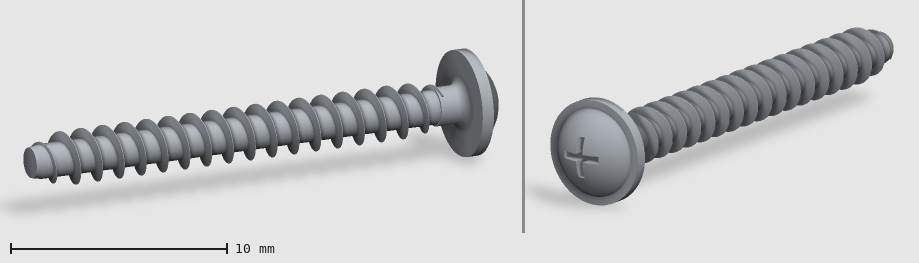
import cadquery as cq
import math


TOTAL_LENGTH = 23.77
FLANGE_DIAMETER = 5.0

FLANGE_THICKNESS = 0.57
DOME_HEIGHT = 1.2
DOME_BASE_RADIUS = 2.1
CROSS_SPAN = 1.95
CROSS_SLOT_WIDTH = 0.35
CROSS_DEPTH = DOME_HEIGHT / 2

NECK_RADIUS = 0.9
NECK_LENGTH = 1.33
NECK_FILLET = 0.4
CORE_RADIUS = 0.8
TIP_RADIUS = 0.71
TIP_TAPER_LENGTH = 0.48

THREAD_RADIUS = 1.28
SPAN_TURNS = 17
SPAN_LENGTH = 19.05
THREAD_PITCH = SPAN_LENGTH / SPAN_TURNS
THREAD_FLANK_ANGLE = 15.0
THREAD_CREST_WIDTH = 0.033
THREAD_EMBED = 0.2
FIRST_CREST_Y = -1.02
START_TURN = 0.125
LEAD_OUT_TURNS = 1.4
LEAD_OUT_RADIUS = 1.02
LEAD_IN_TURNS = 1.35
END_TURN = 18.6
POINTS_PER_TURN = 16

FLANGE_RADIUS = FLANGE_DIAMETER / 2
DOME_TOP_Y = FLANGE_THICKNESS + DOME_HEIGHT
DOME_RADIUS = (DOME_BASE_RADIUS**2 + DOME_HEIGHT**2) / (2 * DOME_HEIGHT)
RECESS_CORNER_DISTANCE = CROSS_SLOT_WIDTH / math.sqrt(2)
APEX_LOSS = DOME_RADIUS - math.sqrt(DOME_RADIUS**2 - RECESS_CORNER_DISTANCE**2)
TIP_Y = DOME_TOP_Y - APEX_LOSS - TOTAL_LENGTH


def make_blank():
    """Head, neck and core turned as one body."""
    dome_center_y = DOME_TOP_Y - DOME_RADIUS
    mid_angle = math.asin(DOME_BASE_RADIUS / DOME_RADIUS) / 2
    dome_mid = (
        DOME_RADIUS * math.sin(mid_angle),
        dome_center_y + DOME_RADIUS * math.cos(mid_angle),
    )
    fillet_mid_offset = NECK_FILLET * (1 - math.sqrt(0.5))
    fillet_mid = (NECK_RADIUS + fillet_mid_offset, -fillet_mid_offset)
    return (
        cq.Workplane("XY")
        .moveTo(0, DOME_TOP_Y)
        .threePointArc(dome_mid, (DOME_BASE_RADIUS, FLANGE_THICKNESS))
        .lineTo(FLANGE_RADIUS, FLANGE_THICKNESS)
        .lineTo(FLANGE_RADIUS, 0)
        .lineTo(NECK_RADIUS + NECK_FILLET, 0)
        .threePointArc(fillet_mid, (NECK_RADIUS, -NECK_FILLET))
        .lineTo(NECK_RADIUS, -NECK_LENGTH)
        .lineTo(CORE_RADIUS, -NECK_LENGTH)
        .lineTo(CORE_RADIUS, TIP_Y + TIP_TAPER_LENGTH)
        .lineTo(TIP_RADIUS, TIP_Y)
        .lineTo(0, TIP_Y)
        .close()
        .revolve(360, (0, 0), (0, 1))
    )


def helix_edge(first, last, radius_at, offset_at):
    """Right-hand helical curve between two turn counts, shifted along the axis by offset_at."""
    steps = math.ceil((last - first) * POINTS_PER_TURN)
    points = []
    for step in range(steps + 1):
        turn = first + (last - first) * step / steps
        angle = 2 * math.pi * turn
        radius = radius_at(turn)
        y = FIRST_CREST_Y - THREAD_PITCH * turn + offset_at(turn)
        points.append(cq.Vector(radius * math.cos(angle), y, radius * math.sin(angle)))
    return cq.Edge.makeSpline(points)


def make_thread_section(first, last, first_radius, last_radius):
    """Helical ridge whose crest radius changes evenly; its width shrinks with its height."""
    root_radius = CORE_RADIUS - THREAD_EMBED
    half_crest = THREAD_CREST_WIDTH / 2
    flank_slope = math.tan(math.radians(THREAD_FLANK_ANGLE))

    def crest_radius(turn):
        return first_radius + (last_radius - first_radius) * (turn - first) / (last - first)

    def half_root(turn):
        return half_crest + (crest_radius(turn) - root_radius) * flank_slope

    edges = [
        helix_edge(first, last, lambda turn: root_radius, half_root),
        helix_edge(first, last, crest_radius, lambda turn: half_crest),
        helix_edge(first, last, crest_radius, lambda turn: -half_crest),
        helix_edge(first, last, lambda turn: root_radius, lambda turn: -half_root(turn)),
    ]
    sides = [cq.Face.makeRuledSurface(edges[i - 1], edges[i]) for i in range(len(edges))]
    ends = []
    for at_end in (0, 1):
        corners = [edge.positionAt(at_end) for edge in edges]
        ends.append(cq.Face.makeFromWires(cq.Wire.makePolygon(corners, close=True)))
    return cq.Solid.makeSolid(cq.Shell.makeShell(sides + ends))


def make_thread():
    """Ridge sections: growing below the neck, full height, fading out at the tip."""
    full_start = START_TURN + LEAD_OUT_TURNS
    full_end = END_TURN - LEAD_IN_TURNS
    return [
        make_thread_section(START_TURN, full_start, LEAD_OUT_RADIUS, THREAD_RADIUS),
        make_thread_section(full_start, full_end, THREAD_RADIUS, THREAD_RADIUS),
        make_thread_section(full_end, END_TURN, THREAD_RADIUS, CORE_RADIUS),
    ]


def make_cross_recess():
    """Two crossed slots sunk into the top of the dome."""
    floor_y = DOME_TOP_Y - CROSS_DEPTH
    slot = cq.Workplane("XY").box(CROSS_SPAN, CROSS_DEPTH, CROSS_SLOT_WIDTH)
    slot = slot.translate((0, floor_y + CROSS_DEPTH / 2, 0))
    return slot.union(slot.rotate((0, 0, 0), (0, 1, 0), 90))


result = make_blank()
for section in make_thread():
    result = result.union(cq.Workplane(section))
result = result.cut(make_cross_recess()).solids()